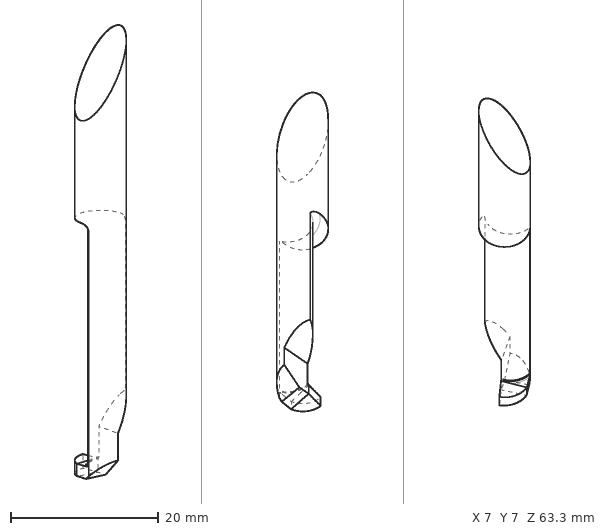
import cadquery as cq
import math

LENGTH = 63.3
DIAMETER = 7.0
RADIUS = DIAMETER / 2
TOP_ANGLE = 60.0

NECK_LENGTH = 36.5
NECK_EDGE_X = 1.4
NECK_CENTER_X = 2 * NECK_EDGE_X
NECK_FILLET = 0.95

FLAT_Y = 0.25
FLAT_HEIGHT = 6.6
FLAT_RUNOUT_ANGLE = 60.0
CORNER_HEIGHT = 2.7

HOOK_HEIGHT = 2.0
HOOK_RELIEF_ANGLE = 2.0
FOOT_FILLET = 0.25
TIP_EDGE_Y = -0.25
JOINT_X = -0.9
CLEARANCE = 3.15


def on_shank_circle(across):
    """Negative coordinate of the shank circle, given the other coordinate."""
    return -math.sqrt(RADIUS**2 - across**2)


def side_prism(points):
    """Prism of a (Y, Z) outline, running along X through the whole part."""
    depth = DIAMETER + 2 * CLEARANCE
    return cq.Workplane("YZ").polyline(points).close().extrude(depth / 2, both=True)


def cut_corner(body):
    """Cut the lower +X corner at 45 degrees."""
    reach = CLEARANCE
    corner = (
        cq.Workplane("XZ")
        .moveTo(RADIUS - CORNER_HEIGHT - reach, -reach)
        .lineTo(RADIUS + reach, CORNER_HEIGHT + reach)
        .lineTo(RADIUS + reach, -reach)
        .close()
        .extrude(RADIUS + reach, both=True)
    )
    return body.cut(corner)


def make_shank():
    bar = cq.Workplane("XY").circle(RADIUS).extrude(LENGTH)
    drop = DIAMETER * math.tan(math.radians(TOP_ANGLE))
    over_top = side_prism([
        (RADIUS, LENGTH),
        (-RADIUS, LENGTH - drop),
        (-RADIUS - CLEARANCE, LENGTH - drop),
        (-RADIUS - CLEARANCE, LENGTH + CLEARANCE),
        (RADIUS, LENGTH + CLEARANCE),
    ])
    return bar.cut(over_top)


def make_neck_relief():
    """Space around the neck, outside the neck arc."""
    side = DIAMETER + 2 * CLEARANCE
    block = (
        cq.Workplane("XY")
        .workplane(offset=-CLEARANCE)
        .rect(2 * side, 2 * side)
        .extrude(NECK_LENGTH + CLEARANCE)
    )
    core = (
        cq.Workplane("XY")
        .workplane(offset=-CLEARANCE)
        .center(NECK_CENTER_X, 0)
        .circle(RADIUS)
        .extrude(NECK_LENGTH + CLEARANCE)
    )
    return block.cut(core)


def make_round_under_shoulder():
    """Flared ring about the neck axis, kept on the -X side of the neck."""
    ring = (
        cq.Workplane("XZ")
        .moveTo(0, NECK_LENGTH - NECK_FILLET)
        .lineTo(RADIUS, NECK_LENGTH - NECK_FILLET)
        .radiusArc((RADIUS + NECK_FILLET, NECK_LENGTH), NECK_FILLET)
        .lineTo(0, NECK_LENGTH)
        .close()
        .revolve(360, (0, 0), (0, 1))
    )
    return ring.translate((NECK_CENTER_X, 0, 0))


def make_flat_cut():
    """Space behind the flat, bounded above by the sloped run-out."""
    outer_y = RADIUS + CLEARANCE
    rise = (outer_y - FLAT_Y) * math.tan(math.radians(FLAT_RUNOUT_ANGLE))
    return side_prism([
        (FLAT_Y, -CLEARANCE),
        (FLAT_Y, FLAT_HEIGHT),
        (outer_y, FLAT_HEIGHT + rise),
        (outer_y, -CLEARANCE),
    ])


def make_hook_wedge():
    """Space between the relieved top and bottom faces of the hook."""
    taper = (FLAT_Y + RADIUS) * math.tan(math.radians(HOOK_RELIEF_ANGLE))
    return side_prism([
        (FLAT_Y, 0),
        (FLAT_Y, HOOK_HEIGHT),
        (-RADIUS, HOOK_HEIGHT - taper),
        (-RADIUS, taper),
    ])


def make_foot_plan(height):
    """Prism of the foot, from the joint plane to the edge of the neck arc."""
    return (
        cq.Workplane("XY")
        .moveTo(JOINT_X, FLAT_Y)
        .lineTo(JOINT_X, on_shank_circle(JOINT_X))
        .lineTo(NECK_EDGE_X, on_shank_circle(NECK_EDGE_X))
        .lineTo(NECK_EDGE_X, FLAT_Y)
        .close()
        .extrude(height)
    )


def make_foot_fillet():
    """Ring flaring outward from the neck onto the sloping top of the foot."""
    ring = (
        cq.Workplane("XZ")
        .moveTo(RADIUS, 0)
        .lineTo(RADIUS, FOOT_FILLET)
        .radiusArc((RADIUS + FOOT_FILLET, 0), -FOOT_FILLET)
        .close()
        .revolve(360, (0, 0), (0, 1))
    )
    top_at_axis = HOOK_HEIGHT - FLAT_Y * math.tan(math.radians(HOOK_RELIEF_ANGLE))
    ring = ring.rotate((0, 0, 0), (1, 0, 0), HOOK_RELIEF_ANGLE)
    ring = ring.translate((NECK_CENTER_X, 0, top_at_axis))
    return ring.intersect(make_foot_plan(HOOK_HEIGHT + FOOT_FILLET))


def make_under_foot_cut():
    """Space below the relieved bottom face, across neck and foot."""
    slope = math.tan(math.radians(HOOK_RELIEF_ANGLE))
    outer_y = RADIUS + CLEARANCE
    return side_prism([
        (FLAT_Y, 0),
        (-outer_y, (outer_y + FLAT_Y) * slope),
        (-outer_y, -CLEARANCE),
        (FLAT_Y, -CLEARANCE),
    ])


def make_holder():
    relief = make_neck_relief().cut(make_round_under_shoulder())
    holder = make_shank().cut(relief).cut(make_flat_cut()).cut(make_under_foot_cut())
    foot = make_foot_plan(HOOK_HEIGHT).intersect(make_hook_wedge())
    return cut_corner(holder.union(foot).union(make_foot_fillet()))


def make_cutting_tip():
    edge_x = on_shank_circle(TIP_EDGE_Y)
    joint_y = on_shank_circle(JOINT_X)
    mid_y = (joint_y + TIP_EDGE_Y) / 2
    plan = (
        cq.Workplane("XY")
        .moveTo(JOINT_X, FLAT_Y)
        .lineTo(edge_x, TIP_EDGE_Y)
        .threePointArc((on_shank_circle(mid_y), mid_y), (JOINT_X, joint_y))
        .close()
        .extrude(HOOK_HEIGHT)
    )
    return plan.intersect(make_hook_wedge())


holder = make_holder().solids()
cutting_tip = make_cutting_tip().solids()
result = cq.Compound.makeCompound([holder.val(), cutting_tip.val()])